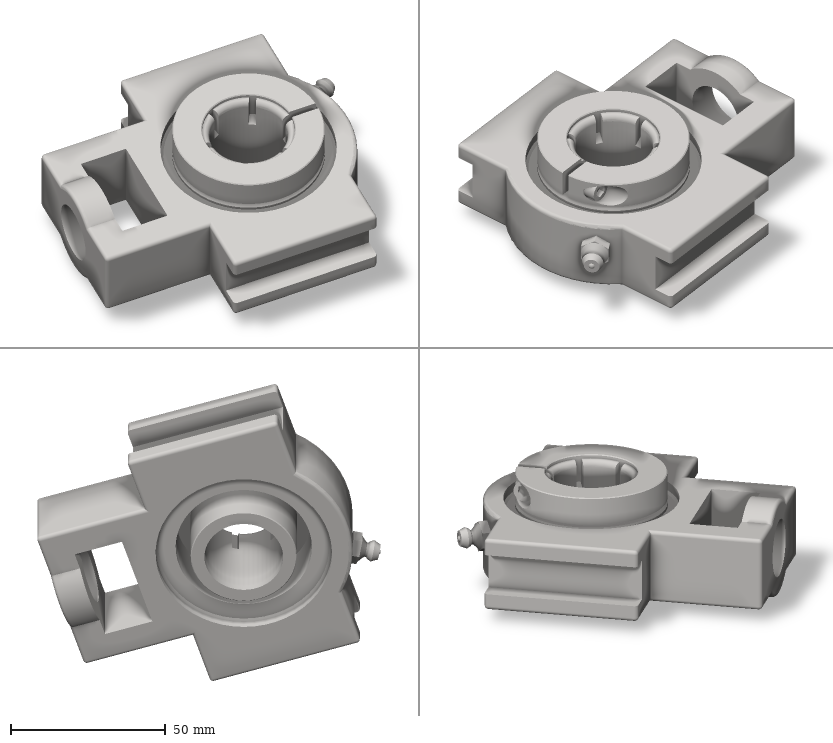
import cadquery as cq
import math


wing_width = 89.0
wing_half_depth = 25.4
half_thickness = 12.1
neck_width = 51.0
neck_end_y = -62.1
head_radius = 35.1
edge_round = 1.2
guide_slot_height = 13.5
guide_floor_spacing = 76.1
window_width = 32.2
window_length = 16.0
boss_radius = 16.0
boss_length = 10.0
boss_hole_diameter = 19.0
ring_seat_diameter = 56.9

outer_ring_half_width = 8.6
outer_ring_bore_diameter = 44.0
outer_ring_lip_width = 0.9
outer_ring_lip_height = 0.6

bore_diameter = 25.4
inner_ring_diameter = 34.3
inner_ring_neck_diameter = 30.0
inner_ring_bottom_z = -14.4
inner_ring_chamfer = 0.3
mouth_round = 2.0
neck_height = 7.9
finger_slot_count = 6
slot_width = 2.3
ramp_bottom_drop = 2.5
ramp_outer_radius = 16.0

seal_lip_diameter = 34.8
seal_lip_chamfer = 0.25
seal_inner_drop = 0.8
seal_flat_drop = 1.2
seal_rim_drop = 1.6
seal_bottom_drop = 2.5
seal_rim_radius = 24.7
seal_flat_end_radius = 24.0

collar_diameter = 49.2
collar_height = 9.2
collar_chamfer = 0.3

screw_y = 19.8
screw_z = 16.6
screw_head_end_x = -10.7
screw_head_diameter = 7.0
screw_head_length = 4.0
screw_shank_diameter = 3.3
screw_tip_x = 10.2
counterbore_diameter = 8.0
hex_socket_flats = 4.0
hex_socket_depth = 2.0
hex_socket_turn = 8.0

nipple_angle = 120.0
nipple_z = 3.1
nipple_stub_diameter = 6.0
nipple_stub_start = 31.6
nipple_hex_start = 35.2
nipple_hex_flats = 9.0
nipple_hex_end = 38.1
nipple_shoulder = 39.5
nipple_neck_diameter = 4.7
nipple_neck_start = 40.2
nipple_neck_end = 40.8
nipple_head_start = 41.2
nipple_head_start_diameter = 5.7
nipple_head_diameter = 7.0
nipple_head_widest = 42.4
nipple_tip = 44.6
nipple_tip_diameter = 5.1
ball_diameter = 2.2
ball_sink = 0.5

housing_top_z = half_thickness
collar_top_z = housing_top_z + collar_height
collar_mid_z = housing_top_z + collar_height / 2
window_start_y = neck_end_y + boss_length
screw_seat_x = screw_head_end_x + screw_head_length
hex_corner_ratio = 2 / math.sqrt(3)


def cylinder(diameter, bottom_z, top_z):
    """Cylinder about Z between two heights."""
    return cq.Workplane("XY").workplane(offset=bottom_z).circle(diameter / 2).extrude(top_z - bottom_z)


def cylinder_along_x(diameter, start_x, end_x):
    """Cylinder parallel to X on the axis of the clamp screw."""
    plane = cq.Plane(origin=(start_x, screw_y, screw_z), xDir=(0, 1, 0), normal=(1, 0, 0))
    return cq.Workplane(plane).circle(diameter / 2).extrude(end_x - start_x)


def on_nipple_axis(shape):
    """Moves a shape built along +X from the origin onto the grease nipple axis."""
    return shape.rotate((0, 0, 0), (0, 0, 1), nipple_angle).translate((0, 0, nipple_z))


def make_housing():
    wing_x = wing_width / 2
    neck_x = neck_width / 2
    head_x = math.sqrt(head_radius**2 - wing_half_depth**2)
    plate = (
        cq.Workplane("XY")
        .workplane(offset=-half_thickness)
        .moveTo(-neck_x, neck_end_y)
        .lineTo(neck_x, neck_end_y)
        .lineTo(neck_x, -wing_half_depth)
        .lineTo(wing_x, -wing_half_depth)
        .lineTo(wing_x, wing_half_depth)
        .lineTo(head_x, wing_half_depth)
        .threePointArc((0, head_radius), (-head_x, wing_half_depth))
        .lineTo(-wing_x, wing_half_depth)
        .lineTo(-wing_x, -wing_half_depth)
        .lineTo(-neck_x, -wing_half_depth)
        .close()
        .extrude(2 * half_thickness)
    )
    neck_corners = plate.edges("|Z").edges("<Y")
    wing_corners = plate.edges("|Z").edges("<X or >X")
    plate = plate.newObject(neck_corners.vals() + wing_corners.vals()).fillet(edge_round)
    plate = plate.faces("<Z or >Z").edges().fillet(edge_round)

    boss = (
        cq.Workplane("XZ", origin=(0, window_start_y, 0))
        .circle(boss_radius)
        .extrude(boss_length)
        .faces("<Y")
        .edges()
        .fillet(edge_round)
    )
    window = cq.Workplane("XY").box(window_width, window_length, 4 * half_thickness)
    window = window.translate((0, window_start_y + window_length / 2, 0))
    boss_hole = (
        cq.Workplane("XZ", origin=(0, window_start_y, 0)).circle(boss_hole_diameter / 2).extrude(boss_length)
    )
    housing = plate.union(boss).cut(window).cut(boss_hole)
    housing = housing.cut(cylinder(ring_seat_diameter, -half_thickness, half_thickness))

    guide_depth = (wing_width - guide_floor_spacing) / 2
    for side in (-1, 1):
        guide_slot = cq.Workplane("XY").box(guide_depth, 2 * wing_half_depth, guide_slot_height)
        housing = housing.cut(guide_slot.translate((side * (wing_width - guide_depth) / 2, 0, 0)))

    nipple_hole = cq.Workplane("YZ", origin=(nipple_stub_start, 0, 0)).circle(nipple_stub_diameter / 2)
    nipple_hole = nipple_hole.extrude(head_radius - nipple_stub_start)
    return housing.cut(on_nipple_axis(nipple_hole))


def make_outer_ring():
    """Ring whose two end faces rise to a sharp sloped lip at the outside."""
    bore_radius = outer_ring_bore_diameter / 2
    outer_radius = ring_seat_diameter / 2
    lip_start_radius = outer_radius - outer_ring_lip_width
    lip_z = outer_ring_half_width + outer_ring_lip_height
    return (
        cq.Workplane("XZ")
        .moveTo(bore_radius, -outer_ring_half_width)
        .lineTo(lip_start_radius, -outer_ring_half_width)
        .lineTo(outer_radius, -lip_z)
        .lineTo(outer_radius, lip_z)
        .lineTo(lip_start_radius, outer_ring_half_width)
        .lineTo(bore_radius, outer_ring_half_width)
        .close()
        .revolve(360, (0, 0, 0), (0, 1, 0))
    )


def make_finger_slots(top_z):
    """Radial slots through the neck of the inner ring, with floors that ramp up outwards."""
    bore_radius = bore_diameter / 2
    ramp_slope = ramp_bottom_drop / (ramp_outer_radius - bore_radius)
    above_ramp = (
        cq.Workplane("XZ")
        .moveTo(0, housing_top_z - ramp_slope * ramp_outer_radius)
        .lineTo(ramp_outer_radius, housing_top_z)
        .lineTo(ramp_outer_radius, top_z)
        .lineTo(0, top_z)
        .close()
        .revolve(360, (0, 0, 0), (0, 1, 0))
    )
    bars = cq.Workplane("XY")
    bar = cq.Workplane("XY").box(2 * ramp_outer_radius, slot_width, 2 * top_z)
    bar = bar.translate((ramp_outer_radius, 0, top_z))
    for index in range(finger_slot_count):
        angle = 90 + index * 360 / finger_slot_count
        bars = bars.union(bar.rotate((0, 0, 0), (0, 0, 1), angle))
    return bars.intersect(above_ramp)


def make_inner_ring():
    top_z = housing_top_z + neck_height
    body = cylinder(inner_ring_diameter, inner_ring_bottom_z, housing_top_z)
    body = body.faces("<Z or >Z").edges().chamfer(inner_ring_chamfer)
    ring = body.union(cylinder(inner_ring_neck_diameter, housing_top_z, top_z))
    ring = ring.cut(cylinder(bore_diameter, inner_ring_bottom_z, top_z))
    ring = ring.faces(">Z").edges("%CIRCLE").edges(cq.selectors.RadiusNthSelector(0)).fillet(mouth_round)
    return ring.cut(make_finger_slots(top_z))


def make_seal():
    inner_radius = inner_ring_diameter / 2
    bottom_z = housing_top_z - seal_bottom_drop
    return (
        cq.Workplane("XZ")
        .moveTo(inner_radius, bottom_z)
        .lineTo(seal_rim_radius, bottom_z)
        .lineTo(seal_rim_radius, housing_top_z - seal_rim_drop)
        .lineTo(seal_flat_end_radius, housing_top_z - seal_flat_drop)
        .lineTo(outer_ring_bore_diameter / 2, housing_top_z - seal_flat_drop)
        .lineTo(seal_lip_diameter / 2, housing_top_z - seal_inner_drop)
        .lineTo(inner_radius, housing_top_z - seal_inner_drop - seal_lip_chamfer)
        .close()
        .revolve(360, (0, 0, 0), (0, 1, 0))
    )


def make_collar():
    collar = cylinder(collar_diameter, housing_top_z, collar_top_z)
    collar = collar.cut(cylinder(inner_ring_neck_diameter, housing_top_z, collar_top_z))
    collar = collar.faces(">Z").edges().chamfer(collar_chamfer)
    split_length = collar_diameter / 2
    split = cq.Workplane("XY").box(slot_width, split_length, collar_height)
    collar = collar.cut(split.translate((0, split_length / 2, collar_mid_z)))
    collar = collar.cut(cylinder_along_x(counterbore_diameter, -collar_diameter / 2, screw_seat_x))
    return collar.cut(cylinder_along_x(screw_shank_diameter, screw_seat_x, screw_tip_x))


def make_screw():
    head = cylinder_along_x(screw_head_diameter, screw_head_end_x, screw_seat_x)
    shank = cylinder_along_x(screw_shank_diameter, screw_seat_x, screw_tip_x)
    head_end = cq.Plane(origin=(screw_head_end_x, screw_y, screw_z), xDir=(0, 0, 1), normal=(1, 0, 0))
    socket = cq.Workplane(head_end).transformed(rotate=(0, 0, hex_socket_turn))
    socket = socket.polygon(6, hex_socket_flats * hex_corner_ratio).extrude(hex_socket_depth)
    return head.union(shank).cut(socket)


def make_ball():
    return on_nipple_axis(cq.Workplane("XY").sphere(ball_diameter / 2).translate((nipple_tip - ball_sink, 0, 0)))


def make_nipple(ball):
    turned = (
        cq.Workplane("XY")
        .moveTo(nipple_stub_start, 0)
        .lineTo(nipple_stub_start, nipple_stub_diameter / 2)
        .lineTo(nipple_hex_end, nipple_stub_diameter / 2)
        .lineTo(nipple_hex_end, nipple_hex_flats / 2)
        .lineTo(nipple_shoulder, nipple_stub_diameter / 2)
        .lineTo(nipple_neck_start, nipple_neck_diameter / 2)
        .lineTo(nipple_neck_end, nipple_neck_diameter / 2)
        .lineTo(nipple_head_start, nipple_head_start_diameter / 2)
        .lineTo(nipple_head_widest, nipple_head_diameter / 2)
        .lineTo(nipple_tip, nipple_tip_diameter / 2)
        .lineTo(nipple_tip, 0)
        .close()
        .revolve(360, (0, 0, 0), (1, 0, 0))
    )
    hex_start = cq.Plane(origin=(nipple_hex_start, 0, 0), xDir=(0, 0, 1), normal=(1, 0, 0))
    hexagon = cq.Workplane(hex_start).polygon(6, nipple_hex_flats * hex_corner_ratio)
    hexagon = hexagon.extrude(nipple_hex_end - nipple_hex_start)
    return on_nipple_axis(turned.union(hexagon)).cut(ball)


housing = make_housing()
outer_ring = make_outer_ring()
inner_ring = make_inner_ring()
seal = make_seal()
collar = make_collar()
screw = make_screw()
ball = make_ball()
nipple = make_nipple(ball)

result = cq.Compound.makeCompound(
    [
        housing.val(),
        outer_ring.val(),
        inner_ring.val(),
        seal.val(),
        collar.val(),
        screw.val(),
        nipple.val(),
        ball.val(),
    ]
)